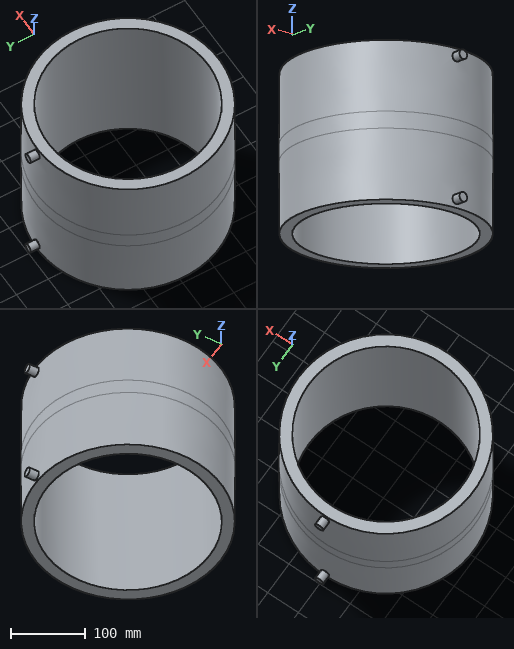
import cadquery as cq

height = 226.0
band_height = 24.0
band_radius = 144.0
end_radius = 143.0
bore_radius = 125.7

pin_diameter = 13.5
pin_tip_y = 301.5 - band_radius
pin_end_distance = 12.0
pin_root_y = (bore_radius + end_radius) / 2

half_height = height / 2
half_band = band_height / 2


def make_sleeve():
    """Revolve the wall section about Z."""
    return (
        cq.Workplane("XZ")
        .moveTo(bore_radius, -half_height)
        .lineTo(end_radius, -half_height)
        .lineTo(band_radius, -half_band)
        .lineTo(band_radius, half_band)
        .lineTo(end_radius, half_height)
        .lineTo(bore_radius, half_height)
        .close()
        .revolve(360, (0, 0, 0), (0, 1, 0))
    )


def make_pin(z):
    """Round pin pointing along +Y at height z."""
    return (
        cq.Workplane("XZ", origin=(0, pin_root_y, z))
        .circle(pin_diameter / 2)
        .extrude(pin_root_y - pin_tip_y)
    )


pin_offset = half_height - pin_end_distance
result = make_sleeve()
for pin_z in (-pin_offset, pin_offset):
    result = result.union(make_pin(pin_z))